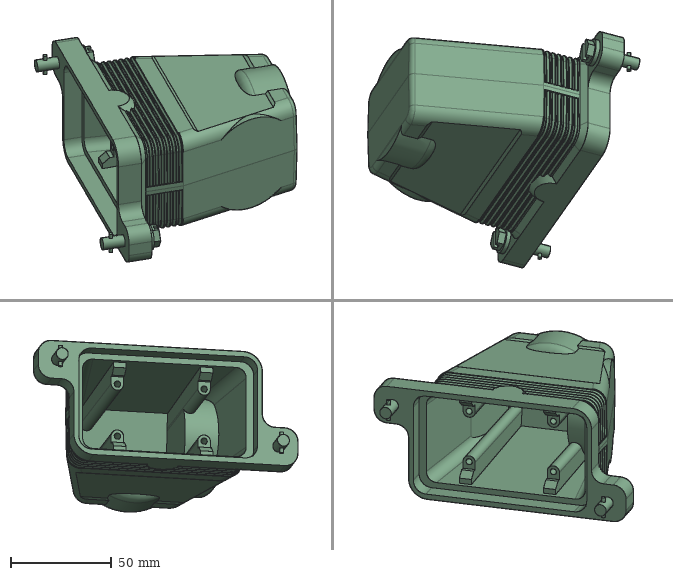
import cadquery as cq

overall_length = 132.5
flange_half_height = 29.0
flange_half_width = 48.1
flange_corner = 10.1
flange_thickness = 11.9
ear_height = 19.6
ear_corner = 6.8
ear_inner_fillet = 6.4

body_half_width = 45.0
body_half_height = 26.5
body_corner = 7.2
side_crown = 0.5
bevel_end_y = 15.1
bevel_corner = 10.9
taper_start_y = 34.8
end_y = 99.9
end_half_width = 27.8
end_crown = 0.5
end_fillet = 2.9
side_taper = (body_half_width - end_half_width) / (end_y - taper_start_y)

panel_start_y = 42.8
panel_end_y = 89.0
panel_depth = 0.7
panel_slope_run = 1.7

groove_count = 6
grip_start_y = 15.9
grip_end_y = 34.3
grip_relief = 0.3
groove_depth = 1.0
groove_land = 0.5
groove_floor = 0.4
grip_gap_half = 2.4

end_boss_radius = 27.5
end_boss_center_z = flange_half_height - end_boss_radius
end_boss_start_y = 76.5
end_boss_end_y = 99.4
end_boss_round = 5.5
end_boss_half_width = 19.9
side_boss_y = 73.4
side_boss_radius = body_half_height - panel_depth
side_boss_start_x = 29.4
side_boss_inner_radius = 23.8
side_boss_inner_x = 19.1

arch_radius = 8.0
arch_base_radius = 11.9
arch_base_z = 24.5

rim_half_width = 45.6
rim_half_height = 26.2
rim_corner = 6.6
rim_depth = 9.3
cavity_half_width = 41.7
cavity_half_height = 23.2
cavity_corner = 5.3
cavity_end_y = 95.4
cavity_end_half_width = 30.0
cavity_end_half_height = 21.1
cavity_end_rise = 3.7
steep_wall_half_width = 34.2
steep_wall_y = 62.3

pad_x = 22.1
pad_radius = 3.2
pad_hole_z = 13.5
pad_hole_radius = 1.6
pad_hole_depth = 10.6
pad_face_y = 18.0
pad_foot_y = 11.9
pad_foot_step_y = 15.8
pad_foot_slope_z = 17.4
pad_foot_front_z = 20.4

pin_radius = 3.0
pin_length = 11.3
cross_pin_radius = 1.0
cross_pin_length = 10.6
cross_pin_y = -6.6
washer_radius = 6.8
washer_thickness = 2.1
head_corners = 11.4
head_height = 3.7
head_slot_width = 2.1
head_slot_depth = 1.9
screw_x = overall_length / 2 - ear_height / 2
screw_z = flange_half_height - ear_height / 2


def plane_at(y):
    """Work plane across the hood at y: local x is X, local y is Z, extrusions go toward -Y."""
    return cq.Workplane("XZ", origin=(0, y, 0))


def box(x_range, y_range, z_range):
    size = [high - low for low, high in (x_range, y_range, z_range)]
    corner = (x_range[0], y_range[0], z_range[0])
    return cq.Workplane("XY").box(*size, centered=False).translate(corner)


def outline_points(half_width, half_height, y, crown=0.0):
    """Corners of a rectangle across Y whose sides may peak at mid height by the crown."""
    shoulder = half_width - crown
    right = [cq.Vector(shoulder, y, -half_height), cq.Vector(shoulder, y, half_height)]
    if crown:
        right.insert(1, cq.Vector(half_width, y, 0))
    return right + [cq.Vector(-p.x, y, -p.z) for p in right]


def section(half_width, half_height, corner, y, crown=0.0):
    """Outline across Y with rounded corners."""
    wire = cq.Wire.makePolygon(outline_points(half_width, half_height, y, crown), close=True)
    return wire.fillet2D(corner, [v for v in wire.Vertices() if v.Z != 0])


def frustum(start, end, corner=0.0):
    """Flat-sided solid between two outlines across Y, with its four long corner edges filleted."""
    rings = [start, end]
    for i in range(len(start)):
        following = (i + 1) % len(start)
        rings.append([start[i], start[following], end[following], end[i]])
    faces = [cq.Face.makeFromWires(cq.Wire.makePolygon(ring, close=True)) for ring in rings]
    solid = cq.Workplane("XY").newObject([cq.Solid.makeSolid(cq.Shell.makeShell(faces))])
    if corner:
        solid = solid.edges("not #Y").edges("<Z or >Z").fillet(corner)
    return solid


def loft(*wires):
    return cq.Workplane("XY").newObject([cq.Solid.makeLoft(list(wires), True)])


def grip_section(y, inset):
    return section(body_half_width - inset, body_half_height - inset, body_corner - inset, y, side_crown)


def make_flange():
    ear_edge_z = flange_half_height - ear_height
    half = overall_length / 2
    outline = [
        (-half, flange_half_height),
        (flange_half_width, flange_half_height),
        (flange_half_width, -ear_edge_z),
        (half, -ear_edge_z),
        (half, -flange_half_height),
        (-flange_half_width, -flange_half_height),
        (-flange_half_width, ear_edge_z),
        (-half, ear_edge_z),
    ]
    flange = plane_at(0).polyline(outline).close().extrude(-flange_thickness)

    def fillet_at(solid, corners, radius):
        for x, z in corners:
            nearest = cq.selectors.NearestToPointSelector((x, flange_thickness / 2, z))
            solid = solid.edges("|Y").edges(nearest).fillet(radius)
        return solid

    flange = fillet_at(flange, [outline[i] for i in (0, 3, 4, 7)], ear_corner)
    flange = fillet_at(flange, [outline[i] for i in (1, 5)], flange_corner)
    return fillet_at(flange, [outline[i] for i in (2, 6)], ear_inner_fillet)


def make_end_limit(apex_y, rise, half_height):
    """Large block on the -Y side of an end wall that peaks at mid height."""
    reach = 2 * half_height
    drop = rise * reach / half_height
    return (
        cq.Workplane("YZ")
        .polyline([(0, -reach), (apex_y - drop, -reach), (apex_y, 0), (apex_y - drop, reach), (0, reach)])
        .close()
        .extrude(overall_length, both=True)
    )


def make_tapered_body(corner):
    base, shoulder, tip = [
        outline_points(half_width, body_half_height, y, side_crown)
        for half_width, y in (
            (body_half_width, flange_thickness),
            (body_half_width, taper_start_y),
            (end_half_width, end_y),
        )
    ]
    straight = frustum(base, shoulder, corner)
    taper = frustum(shoulder, tip, corner)
    return straight.union(taper).intersect(make_end_limit(end_y, end_crown, body_half_height))


def make_panel_recess():
    floor_z = body_half_height - panel_depth
    cutter = (
        cq.Workplane("YZ")
        .polyline([
            (panel_start_y, body_half_height),
            (panel_start_y + panel_slope_run, floor_z),
            (panel_end_y - panel_slope_run, floor_z),
            (panel_end_y, body_half_height),
        ])
        .close()
        .extrude(overall_length, both=True)
    )
    return cutter.union(cutter.mirror("XY"))


def make_grip_cutter():
    """Relief band with V-like grooves, interrupted at the middle of each side."""
    pitch = (grip_end_y - grip_start_y) / groove_count
    half_land = groove_land / 2
    side_run = (pitch - groove_land - groove_floor) / 2
    stations = []
    for i in range(groove_count):
        y = grip_start_y + i * pitch
        stations += [
            (y + half_land, grip_relief),
            (y + half_land + side_run, groove_depth),
            (y + pitch - half_land - side_run, groove_depth),
            (y + pitch - half_land, grip_relief),
        ]
    stations = [(grip_start_y, grip_relief)] + stations + [(grip_end_y, grip_relief)]
    core = loft(*[grip_section(y, inset) for y, inset in stations])
    reach = overall_length
    cutter = box((-reach, reach), (grip_start_y, grip_end_y), (-reach, reach)).cut(core)
    return cutter.cut(box((-reach, reach), (0, end_y), (-grip_gap_half, grip_gap_half)))


def make_end_boss():
    """Barrels along Y that stand out of the upper and lower faces at the closed end."""
    barrel = (
        plane_at(end_boss_end_y)
        .center(0, end_boss_center_z)
        .circle(end_boss_radius)
        .extrude(end_boss_end_y - end_boss_start_y)
    )
    barrel = barrel.faces("<Y").edges().fillet(end_boss_round)
    upper = barrel.intersect(
        box((-end_boss_half_width, end_boss_half_width), (0, end_y), (0, flange_half_height))
    )
    return upper.union(upper.mirror("XY"))


def make_side_cylinder(radius, start_x):
    return (
        cq.Workplane("YZ", origin=(start_x, 0, 0))
        .center(side_boss_y, 0)
        .circle(radius)
        .extrude(overall_length / 2 - start_x)
    )


def make_arch():
    rise = flange_half_height - arch_base_z
    cone = cq.Solid.makeCone(arch_base_radius, arch_radius, rise, cq.Vector(0, flange_thickness, arch_base_z))
    arch = cq.Workplane("XY").newObject([cone])
    return arch.union(arch.mirror("XY"))


def make_pads():
    """Four screw pads that run along the cavity, each with a sloped foot against the wall."""
    depth = cavity_end_y - pad_face_y
    post = (
        plane_at(pad_face_y)
        .center(pad_x, pad_hole_z)
        .circle(pad_radius)
        .extrude(-depth)
        .union(box(
            (pad_x - pad_radius, pad_x + pad_radius),
            (pad_face_y, cavity_end_y),
            (pad_hole_z, flange_half_height),
        ))
    )
    foot = (
        cq.Workplane("YZ", origin=(pad_x, 0, 0))
        .polyline([
            (pad_face_y, pad_foot_slope_z),
            (pad_foot_step_y, pad_foot_slope_z),
            (pad_foot_y, pad_foot_front_z),
            (pad_foot_y, flange_half_height),
            (pad_face_y, flange_half_height),
        ])
        .close()
        .extrude(pad_radius, both=True)
    )
    hole = plane_at(pad_face_y).center(pad_x, pad_hole_z).circle(pad_hole_radius).extrude(-pad_hole_depth)
    pad = post.union(foot).cut(hole)
    pair = pad.union(pad.mirror("YZ"))
    return pair.union(pair.mirror("XY"))


def make_cavity():
    rim = frustum(
        outline_points(rim_half_width, rim_half_height, 0),
        outline_points(rim_half_width, rim_half_height, rim_depth),
        rim_corner,
    )
    main = frustum(
        outline_points(cavity_half_width, cavity_half_height, rim_depth),
        outline_points(cavity_end_half_width, cavity_end_half_height, cavity_end_y),
        cavity_corner,
    )
    steep_end = steep_wall_half_width - side_taper * (cavity_end_y - steep_wall_y)
    steep_front = steep_wall_half_width + side_taper * steep_wall_y
    steep_limit = (
        cq.Workplane("XY")
        .polyline([
            (-steep_front, 0),
            (steep_front, 0),
            (steep_end, cavity_end_y),
            (-steep_end, cavity_end_y),
        ])
        .close()
        .extrude(overall_length, both=True)
    )
    main = main.intersect(steep_limit)
    main = main.intersect(make_end_limit(cavity_end_y, cavity_end_rise, cavity_end_half_height))
    main = main.cut(make_side_cylinder(side_boss_inner_radius, side_boss_inner_x))
    main = main.cut(box(
        (side_boss_inner_x, overall_length / 2),
        (side_boss_y, cavity_end_y),
        (-flange_half_height, flange_half_height),
    ))
    return rim.union(main.cut(make_pads()))


def make_screw(x, z):
    head_y = flange_thickness + washer_thickness
    top_y = head_y + head_height
    pin = plane_at(flange_thickness).circle(pin_radius).extrude(flange_thickness + pin_length)
    washer = plane_at(flange_thickness).circle(washer_radius).extrude(-washer_thickness)
    head = plane_at(head_y).polygon(6, head_corners).extrude(-head_height)
    slot = box(
        (-head_slot_width / 2, head_slot_width / 2),
        (top_y - head_slot_depth, top_y),
        (-head_corners, head_corners),
    )
    cross_pin = (
        cq.Workplane("XY", origin=(0, cross_pin_y, 0))
        .circle(cross_pin_radius)
        .extrude(cross_pin_length / 2, both=True)
    )
    return pin.union(washer).union(head.cut(slot)).union(cross_pin).translate((x, 0, z))


upper_half = make_tapered_body(body_corner).intersect(
    box((-overall_length, overall_length), (0, end_y), (0, overall_length))
)
upper_half = upper_half.faces(">>Y").edges("not <Z").fillet(end_fillet)
shell = upper_half.union(upper_half.mirror("XY"))
shell = shell.cut(make_panel_recess()).cut(make_grip_cutter())

side_boss = make_side_cylinder(side_boss_radius, side_boss_start_x).intersect(make_tapered_body(0))
bevel = loft(
    section(flange_half_width, flange_half_height, bevel_corner, flange_thickness),
    section(body_half_width, body_half_height, body_corner, bevel_end_y),
)
result = shell.union(side_boss).union(make_end_boss())
result = result.union(make_flange()).union(bevel).union(make_arch())
result = result.cut(make_cavity())

for side in (-1, 1):
    result = result.union(make_screw(side * screw_x, -side * screw_z))